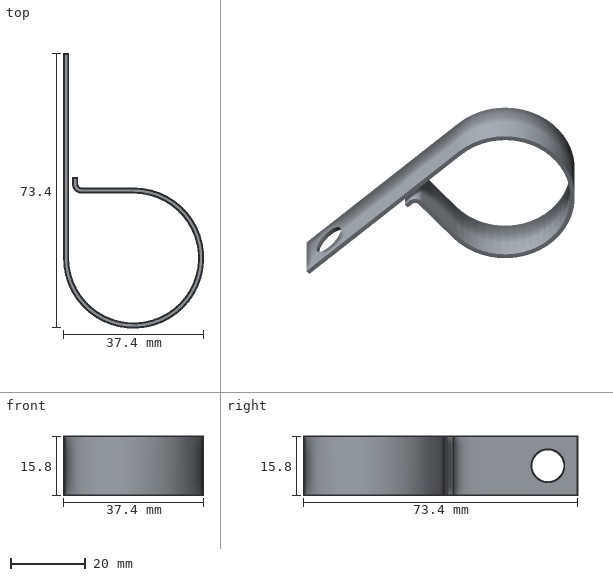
import cadquery as cq
import math

total_length = 73.4
loop_diameter = 37.4
strip_width = 15.85
thickness = 1.2
hole_diameter = 8.75
hook_gap = 1.25
hook_rise = 2.8
bend_inner_radius = 1.2

outer_radius = loop_diameter / 2
inner_radius = outer_radius - thickness
bend_outer_radius = bend_inner_radius + thickness
leg_end = total_length - outer_radius
hook_left = -inner_radius + hook_gap
hook_right = hook_left + thickness
hook_tip = outer_radius + hook_rise
bend_x = hook_left + bend_outer_radius
bend_y = inner_radius + bend_outer_radius
hole_y = leg_end - strip_width / 2


def loop_midpoint(radius):
    """Point halfway round the loop, opposite its open corner."""
    offset = radius * math.sqrt(0.5)
    return (offset, -offset)


def bend_midpoint(radius):
    """Point halfway round the hook bend."""
    offset = radius * math.sqrt(0.5)
    return (bend_x - offset, bend_y - offset)


def make_strip():
    """Mounting leg, three-quarter loop and hooked end as one bent strip."""
    return (
        cq.Workplane("XY")
        .moveTo(-outer_radius, leg_end)
        .lineTo(-outer_radius, 0)
        .threePointArc(loop_midpoint(outer_radius), (0, outer_radius))
        .lineTo(bend_x, outer_radius)
        .threePointArc(bend_midpoint(bend_inner_radius), (hook_right, bend_y))
        .lineTo(hook_right, hook_tip)
        .lineTo(hook_left, hook_tip)
        .lineTo(hook_left, bend_y)
        .threePointArc(bend_midpoint(bend_outer_radius), (bend_x, inner_radius))
        .lineTo(0, inner_radius)
        .threePointArc(loop_midpoint(inner_radius), (-inner_radius, 0))
        .lineTo(-inner_radius, leg_end)
        .close()
        .extrude(strip_width / 2, both=True)
    )


def make_hole():
    """Cutter for the screw hole through the mounting leg only."""
    return (
        cq.Workplane("YZ", origin=(-outer_radius, hole_y, 0))
        .circle(hole_diameter / 2)
        .extrude(thickness)
    )


result = make_strip().cut(make_hole())